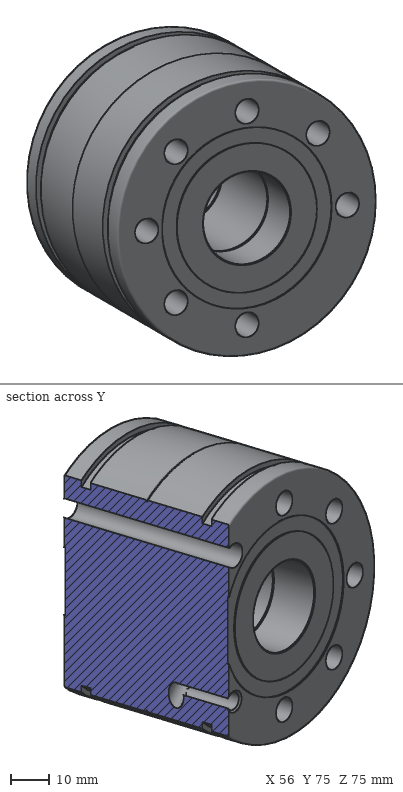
import cadquery as cq
import math

LENGTH = 56.0
OUTER_RADIUS = 37.5
BORE_RADIUS = 12.5
RIM_FILLET = 0.6
BORE_CHAMFER = 0.25

RING_GROOVE_OFFSET = 6.0
RING_GROOVE_WIDTH = 3.0
RING_GROOVE_DEPTH = 1.5

RECESS_OUTER_RADIUS = 24.5
RECESS_INNER_RADIUS = 20.25
RECESS_DEPTH = 0.4

HOLE_COUNT = 8
HOLE_CIRCLE_RADIUS = 29.0
HOLE_RADIUS = 3.4
PORT_INDEX = 7
PORT_RADIUS = 2.5
PORT_MOUTH_RADIUS = 3.0
PORT_DEPTH = 18.0

OVERRUN = 0.75

HALF_LENGTH = LENGTH / 2
BORE_GROOVE_OFFSET = LENGTH / 4


def cylinder_x(radius, x_start, length, y=0, z=0):
    """Cylinder parallel to X, starting at x_start."""
    return cq.Workplane("YZ", origin=(x_start, y, z)).circle(radius).extrude(length)


def ring_x(outer_radius, inner_radius, x_start, length):
    """Plain ring around the X axis."""
    return cylinder_x(outer_radius, x_start, length).cut(cylinder_x(inner_radius, x_start, length))


def half_cylinder(x_start):
    """Solid half of the body with both of its rims rounded."""
    return cylinder_x(OUTER_RADIUS, x_start, HALF_LENGTH).edges("%CIRCLE").fillet(RIM_FILLET)


def bore_bevel(x):
    """Double bevel around the bore: a V groove in the wall, or a rim chamfer at an end face."""
    return (
        cq.Workplane("XY")
        .moveTo(x - BORE_CHAMFER, BORE_RADIUS)
        .lineTo(x, BORE_RADIUS + BORE_CHAMFER)
        .lineTo(x + BORE_CHAMFER, BORE_RADIUS)
        .lineTo(x + BORE_CHAMFER, 0)
        .lineTo(x - BORE_CHAMFER, 0)
        .close()
        .revolve(360, (0, 0, 0), (1, 0, 0))
    )


def end_cuts():
    """Cuts of the -X end: outer groove, face recess, bore rim chamfer and V groove in the bore."""
    groove = ring_x(
        OUTER_RADIUS + OVERRUN,
        OUTER_RADIUS - RING_GROOVE_DEPTH,
        -HALF_LENGTH + RING_GROOVE_OFFSET,
        RING_GROOVE_WIDTH,
    )
    recess = ring_x(RECESS_OUTER_RADIUS, RECESS_INNER_RADIUS, -HALF_LENGTH, RECESS_DEPTH)
    rim_chamfer = bore_bevel(-HALF_LENGTH)
    bore_groove = bore_bevel(-HALF_LENGTH + BORE_GROOVE_OFFSET)
    return [groove, recess, rim_chamfer, bore_groove]


def hole_angle(index):
    """Angle on the hole circle, from +Y towards +Z."""
    return 2 * math.pi * index / HOLE_COUNT


def port(angle):
    """Axial hole from the -X face, turning outwards through the rim of the body."""
    radial = cq.Vector(0, math.cos(angle), math.sin(angle))
    mouth = radial * HOLE_CIRCLE_RADIUS + cq.Vector(-HALF_LENGTH, 0, 0)
    along_x = cq.Vector(1, 0, 0)
    mouth_depth = PORT_MOUTH_RADIUS - PORT_RADIUS

    countersink = cq.Solid.makeCone(PORT_MOUTH_RADIUS, PORT_RADIUS, mouth_depth, mouth, along_x)
    axial_hole = cq.Solid.makeCylinder(PORT_RADIUS, PORT_DEPTH, mouth, along_x)

    passage_start = mouth + along_x * PORT_DEPTH - radial * PORT_RADIUS
    passage_length = OUTER_RADIUS - HOLE_CIRCLE_RADIUS + PORT_RADIUS + OVERRUN
    passage = cq.Solid.makeCylinder(PORT_RADIUS, passage_length, passage_start, radial)
    return cq.Workplane(countersink).union(axial_hole).union(passage)


body = half_cylinder(-HALF_LENGTH).union(half_cylinder(0))
body = body.cut(cylinder_x(BORE_RADIUS, -HALF_LENGTH, LENGTH))

for end_cut in end_cuts():
    body = body.cut(end_cut).cut(end_cut.mirror("YZ"))

for index in range(HOLE_COUNT):
    angle = hole_angle(index)
    if index == PORT_INDEX:
        body = body.cut(port(angle))
    else:
        y = HOLE_CIRCLE_RADIUS * math.cos(angle)
        z = HOLE_CIRCLE_RADIUS * math.sin(angle)
        body = body.cut(cylinder_x(HOLE_RADIUS, -HALF_LENGTH, LENGTH, y, z))

result = body